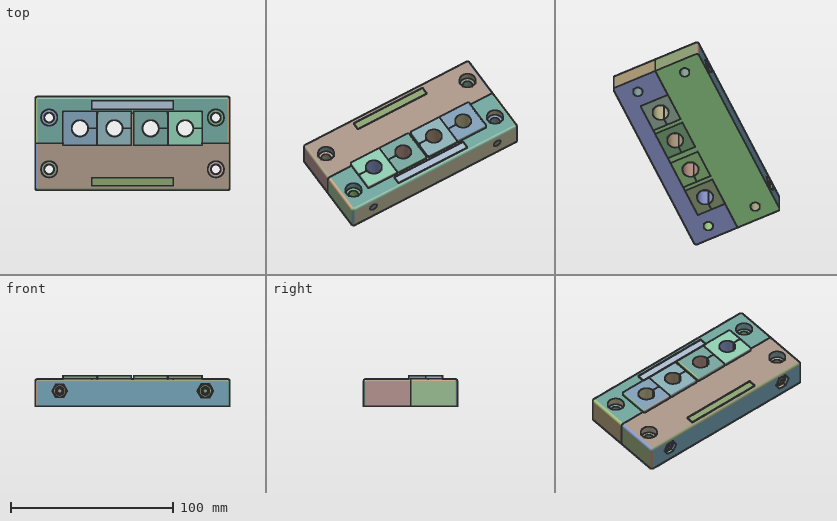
import cadquery as cq
import math

LENGTH = 120.0
WIDTH = 58.0
HOUSING_HEIGHT = 16.9
EDGE_RADIUS = 1.5
PARTING_GAP = 0.1

MOUNT_X = 51.4
MOUNT_Y = 16.0
MOUNT_HOLE_DIAMETER = 5.9
MOUNT_COUNTERBORE_DIAMETER = 10.1
MOUNT_COUNTERBORE_DEPTH = 5.0

LABEL_LENGTH = 50.0
LABEL_WIDTH = 5.0
LABEL_DEPTH = 0.5
LABEL_Y = 23.6

TOTAL_HEIGHT = 19.0
FLANGE_HEIGHT = TOTAL_HEIGHT - HOUSING_HEIGHT
FLANGE_SIZE = 21.0
FLANGE_OVERHANG = 1.2
FLANGE_EDGE_RADIUS = 0.5
BORE_DIAMETER = 10.0
SLIT_WIDTH = 0.07
GROMMET_BODY_SIZE = FLANGE_SIZE - 2 * FLANGE_OVERHANG
GROMMET_Y = GROMMET_BODY_SIZE / 2
PAIR_PITCH = 21.2
MIDDLE_PITCH = 22.3
INNER_GROMMET_X = MIDDLE_PITCH / 2
OUTER_GROMMET_X = INNER_GROMMET_X + PAIR_PITCH
GROMMET_XS = [-OUTER_GROMMET_X, -INNER_GROMMET_X, INNER_GROMMET_X, OUTER_GROMMET_X]

BOLT_X = 44.9
BOLT_Z = 9.5
BOLT_DIAMETER = 5.0
BOLT_TIP_CHAMFER = 1.0
BOLT_TIP_DEPTH = 0.5
NUT_FLATS = 8.0
NUT_HEIGHT = 4.0
NUT_DEPTH = 1.9
NUT_FACE_DIAMETER = 7.8
NUT_CHAMFER_ANGLE = 30.0
LEFT_POCKET_FLATS = NUT_FLATS
RIGHT_POCKET_FLATS = 8.6

FRONT_Y = -WIDTH / 2
NUT_POCKET_DEPTH = NUT_DEPTH + NUT_HEIGHT


def box(size_x, size_y, size_z, center_x, center_y, bottom_z):
    """Upright box placed by the centre of its bottom face."""
    base = cq.Workplane("XY", origin=(center_x, center_y, bottom_z))
    return base.rect(size_x, size_y).extrude(size_z)


def cylinder_along_y(diameter, x, start_y, length):
    """Cylinder at bolt height that runs from start_y in the +Y direction."""
    base = cq.Workplane("XZ", origin=(x, start_y, BOLT_Z))
    return base.circle(diameter / 2).extrude(-length)


def hexagon_along_y(flats, x, start_y, length):
    """Hexagonal prism at bolt height, with two flats level, running in the +Y direction."""
    base = cq.Workplane("XZ", origin=(x, start_y, BOLT_Z))
    return base.polygon(6, flats / math.cos(math.pi / 6)).extrude(-length)


def make_housing_block():
    """Both housing halves in one piece, with every cut except the grommet windows."""
    block = box(LENGTH, WIDTH, HOUSING_HEIGHT, 0, 0, 0)
    block = block.edges("|Z or >Z").fillet(EDGE_RADIUS)

    mount_points = [(x, y) for x in (-MOUNT_X, MOUNT_X) for y in (-MOUNT_Y, MOUNT_Y)]
    block = block.faces(">Z").workplane(origin=(0, 0, 0)).pushPoints(mount_points)
    block = block.cboreHole(MOUNT_HOLE_DIAMETER, MOUNT_COUNTERBORE_DIAMETER, MOUNT_COUNTERBORE_DEPTH)

    for label_y in (-LABEL_Y, LABEL_Y):
        block = block.cut(
            box(LABEL_LENGTH, LABEL_WIDTH, LABEL_DEPTH, 0, label_y, HOUSING_HEIGHT - LABEL_DEPTH)
        )

    for bolt_x, pocket_flats in ((-BOLT_X, LEFT_POCKET_FLATS), (BOLT_X, RIGHT_POCKET_FLATS)):
        block = block.cut(cylinder_along_y(BOLT_DIAMETER, bolt_x, FRONT_Y, WIDTH))
        block = block.cut(hexagon_along_y(pocket_flats, bolt_x, FRONT_Y, NUT_POCKET_DEPTH))
    return block


def make_front_region():
    """Region of the front half: all of y < 0 and the strip behind it that holds the dividers."""
    region = box(LENGTH, WIDTH / 2, HOUSING_HEIGHT, 0, FRONT_Y / 2, 0)
    strip_length = GROMMET_XS[-1] - GROMMET_XS[0] + GROMMET_BODY_SIZE
    return region.union(box(strip_length, GROMMET_BODY_SIZE, HOUSING_HEIGHT, 0, GROMMET_Y, 0))


def make_windows():
    """Square window for each grommet body, through the full height."""
    windows = cq.Workplane("XY").pushPoints([(x, GROMMET_Y) for x in GROMMET_XS])
    return windows.rect(GROMMET_BODY_SIZE, GROMMET_BODY_SIZE).extrude(HOUSING_HEIGHT)


def make_front_half():
    """Housing half on the -Y side, with dividers that stand between the grommets."""
    return make_housing_block().intersect(make_front_region()).cut(make_windows())


def make_back_half():
    """Housing half on the +Y side, open towards -Y for the grommets and dividers."""
    parting_strip = box(LENGTH, PARTING_GAP, HOUSING_HEIGHT, 0, PARTING_GAP / 2, 0)
    return make_housing_block().cut(make_front_region()).cut(parting_strip)


def make_grommet(x):
    """Square grommet with a round bore and a thin slit from the bore to its +X side."""
    flange = box(FLANGE_SIZE, FLANGE_SIZE, FLANGE_HEIGHT, x, GROMMET_Y, HOUSING_HEIGHT)
    flange = flange.edges("|Z or >Z").fillet(FLANGE_EDGE_RADIUS)
    grommet = flange.union(box(GROMMET_BODY_SIZE, GROMMET_BODY_SIZE, HOUSING_HEIGHT, x, GROMMET_Y, 0))
    bore = cq.Workplane("XY", origin=(x, GROMMET_Y, 0)).circle(BORE_DIAMETER / 2).extrude(TOTAL_HEIGHT)
    slit = box(FLANGE_SIZE / 2, SLIT_WIDTH, TOTAL_HEIGHT, x + FLANGE_SIZE / 4, GROMMET_Y, 0)
    return grommet.cut(bore).cut(slit)


def make_bolt(x):
    """Plain tie bolt with a chamfered tip at its -Y end."""
    length = WIDTH - BOLT_TIP_DEPTH
    bolt = cylinder_along_y(BOLT_DIAMETER, x, FRONT_Y + BOLT_TIP_DEPTH, length)
    return bolt.faces("<Y").chamfer(BOLT_TIP_CHAMFER)


def make_nut(x):
    """Hexagonal nut whose outer corners are trimmed by a cone."""
    outer_y = FRONT_Y + NUT_DEPTH
    corner_radius = NUT_FLATS / 2 / math.cos(math.pi / 6)
    corner_trim = corner_radius - NUT_FACE_DIAMETER / 2
    corner_drop = corner_trim * math.tan(math.radians(NUT_CHAMFER_ANGLE))
    envelope = cylinder_along_y(2 * corner_radius, x, outer_y, NUT_HEIGHT)
    envelope = envelope.faces("<Y").chamfer(corner_drop, corner_trim)
    nut = hexagon_along_y(NUT_FLATS, x, outer_y, NUT_HEIGHT).intersect(envelope)
    return nut.cut(cylinder_along_y(BOLT_DIAMETER, x, outer_y, NUT_HEIGHT))


front_half = make_front_half()
back_half = make_back_half()
grommets = [make_grommet(x) for x in GROMMET_XS]
bolts = [make_bolt(x) for x in (-BOLT_X, BOLT_X)]
nuts = [make_nut(x) for x in (-BOLT_X, BOLT_X)]

bodies = [front_half, back_half, *grommets, *bolts, *nuts]
result = cq.Compound.makeCompound([body.solids().val() for body in bodies])